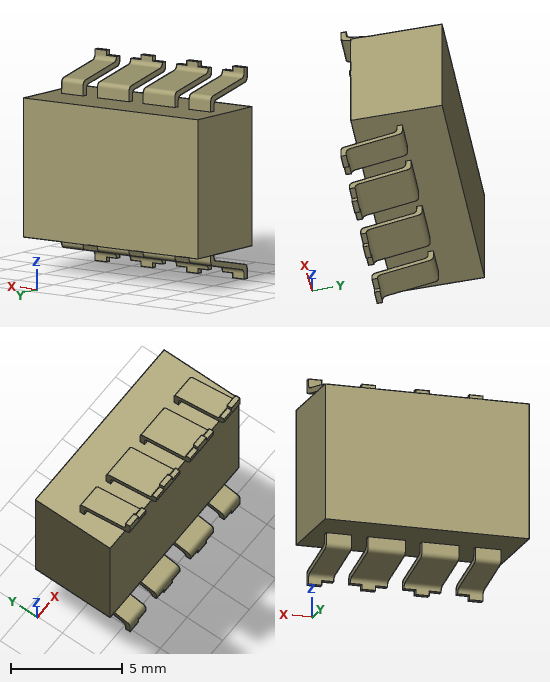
import cadquery as cq
import math

body_width = 9.66
body_depth = 4.19
body_height = 6.36

overall_height = 9.66
overall_depth = 4.79
sheet_thickness = 0.25
lead_setback = 2.82
slope_angle = 12.0
bend_radius = 0.24
foot_length = 0.64
root_overlap = 0.19

lead_count = 4
lead_pitch = 2.54
lead_width = 1.76
tab_width = 0.64
tab_length = 0.22

foot_front = -overall_depth / 2
foot_back = foot_front + sheet_thickness
body_back = overall_depth / 2
root_back = foot_front + lead_setback
root_front = root_back - sheet_thickness
tip_z = overall_height / 2
shoulder_z = tip_z - tab_length
root_z = body_height / 2 - root_overlap

row_half_width = (lead_count - 1) / 2 * lead_pitch + tab_width / 2

slope = math.tan(math.radians(slope_angle))
arm_rise = sheet_thickness / math.cos(math.radians(slope_angle))
foot_corner_z = tip_z - foot_length


def arm_underside(y):
    """Height of the lower surface of the sloping arm."""
    return foot_corner_z - slope * (y - foot_front)


def arm_top(y):
    """Height of the upper surface of the sloping arm."""
    return arm_underside(y) + arm_rise


def bent_strip(left, right):
    """Z-shaped lead strip on the upper side, between two X positions."""
    strip = (
        cq.Workplane("YZ")
        .workplane(offset=left)
        .polyline([
            (foot_front, tip_z),
            (foot_front, arm_underside(foot_front)),
            (root_front, arm_underside(root_front)),
            (root_front, root_z),
            (root_back, root_z),
            (root_back, arm_top(root_back)),
            (foot_back, arm_top(foot_back)),
            (foot_back, tip_z),
        ])
        .close()
        .extrude(right - left)
    )
    margin = sheet_thickness
    bends = cq.selectors.BoxSelector(
        (left - margin, foot_front - margin, body_height / 2),
        (right + margin, root_back + margin, shoulder_z),
    )
    return strip.edges("|X").edges(bends).fillet(bend_radius)


def shoulder_cut(left, right):
    """Block that trims the foot back to its shoulder beside the tab."""
    return cq.Workplane("XY").box(
        right - left, sheet_thickness, tab_length, centered=False
    ).translate((left, foot_front, shoulder_z))


def lead(center, left, right):
    """Lead with its tab centred on `center`, notched wherever the foot is wider than the tab."""
    strip = bent_strip(left, right)
    tab_left = center - tab_width / 2
    tab_right = center + tab_width / 2
    if left < tab_left:
        strip = strip.cut(shoulder_cut(left, tab_left))
    if right > tab_right:
        strip = strip.cut(shoulder_cut(tab_right, right))
    return strip


def mirrored_pair(index):
    """Upper and lower lead at one place in the row."""
    center = (index - (lead_count - 1) / 2) * lead_pitch
    left = max(center - lead_width / 2, -row_half_width)
    right = min(center + lead_width / 2, row_half_width)
    upper_lead = lead(center, left, right)
    return upper_lead, upper_lead.mirror("XY")


body = cq.Workplane("XY").box(body_width, body_depth, body_height).translate(
    (0, body_back - body_depth / 2, 0)
)

result = body
for index in range(lead_count):
    upper_lead, lower_lead = mirrored_pair(index)
    result = result.union(upper_lead).union(lower_lead)